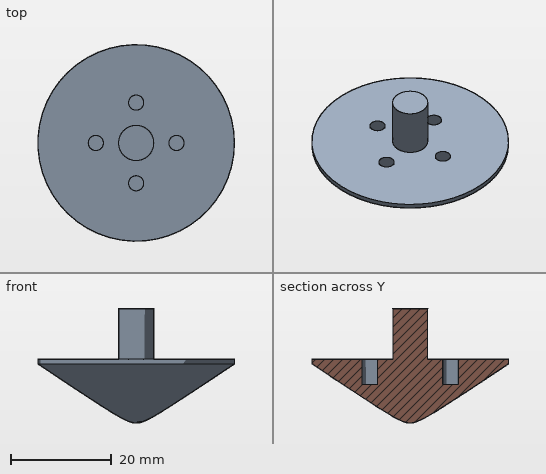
import cadquery as cq
import math

rim_radius = 19.53
rim_thickness = 0.98

overall_height = 22.75
stem_height = 10.0
nose_height = overall_height - stem_height - rim_thickness
apex_gap = 1.4
profile_spans = 6

stem_diameter = 7.0

hole_diameter = 3.0
hole_circle_radius = 8.0
hole_count = 4
hole_depth = 5.0

rim_parameter = math.acosh(1 + nose_height / apex_gap)
radius_scale = rim_radius / math.sinh(rim_parameter)


def nose_point(parameter):
    """Point (radius, Z) on the hyperbola: 0 is the tip, rim_parameter the rim edge."""
    radius = radius_scale * math.sinh(parameter)
    height_above_tip = apex_gap * (math.cosh(parameter) - 1)
    return (radius, height_above_tip - nose_height)


def make_body():
    """Rim disc and nose, revolved about Z."""
    nose_curve = [nose_point(rim_parameter * i / profile_spans) for i in range(profile_spans + 1)]
    tip_tangent = (1, 0)
    rim_tangent = (
        radius_scale * math.cosh(rim_parameter),
        apex_gap * math.sinh(rim_parameter),
    )
    return (
        cq.Workplane("XZ")
        .spline(nose_curve, tangents=[tip_tangent, rim_tangent])
        .lineTo(rim_radius, rim_thickness)
        .lineTo(0, rim_thickness)
        .close()
        .revolve(360, (0, 0, 0), (0, 1, 0))
    )


def make_stem():
    """Plain round stem on top of the rim."""
    return (
        cq.Workplane("XY")
        .workplane(offset=rim_thickness)
        .circle(stem_diameter / 2)
        .extrude(stem_height)
    )


def make_holes():
    """Blind holes sunk from the top of the rim, evenly spaced about Z."""
    return (
        cq.Workplane("XY")
        .workplane(offset=rim_thickness)
        .polarArray(hole_circle_radius, 0, 360, hole_count)
        .circle(hole_diameter / 2)
        .extrude(-hole_depth)
    )


result = make_body().union(make_stem()).cut(make_holes())